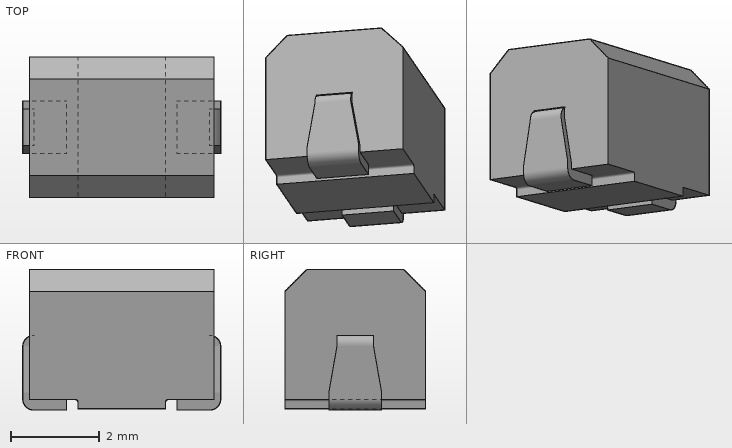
import cadquery as cq

total_length = 4.5
body_width = 3.2
total_height = 3.2

body_length = 4.2
body_bottom = 0.24
top_bevel = 0.5
rail_length = 2.0
rail_bottom = 0.03
rail_corner_radius = 0.05

foot_length = 1.0
foot_width = 1.2
neck_width = 0.832
taper_start = 0.395
neck_start = 1.45
bend_radius = 0.25

half_total = total_length / 2
half_rail = rail_length / 2
bend_center_x = -half_total + bend_radius
neck_top = neck_start + bend_radius


def make_body():
    """Block with bevelled top edges and a central rail underneath."""
    body = (
        cq.Workplane("XY", origin=(0, 0, body_bottom))
        .box(body_length, body_width, total_height - body_bottom, centered=(True, True, False))
        .faces(">Z")
        .edges("|X")
        .chamfer(top_bevel)
    )
    rail = (
        cq.Workplane("XY", origin=(0, 0, rail_bottom))
        .box(rail_length, body_width, body_bottom - rail_bottom, centered=(True, True, False))
    )
    rail_corners = cq.selectors.BoxSelector(
        (-half_rail - rail_corner_radius, -body_width, body_bottom - rail_corner_radius),
        (half_rail + rail_corner_radius, body_width, body_bottom + rail_corner_radius),
    )
    return body.union(rail).edges("|Y").edges(rail_corners).fillet(rail_corner_radius)


def make_neck_slot():
    """Slot in the -X end of the body where the bent neck enters."""
    return (
        cq.Workplane("XY", origin=(-half_total, 0, neck_start))
        .box(bend_radius, neck_width, bend_radius, centered=(False, True, False))
    )


def make_terminal():
    """Terminal on the -X end: foot under the body, tapered tongue and a neck curling into the body."""
    folded = (
        cq.Workplane("XZ")
        .moveTo(-half_total + foot_length, 0)
        .lineTo(bend_center_x, 0)
        .radiusArc((-half_total, bend_radius), bend_radius)
        .lineTo(-half_total, neck_start)
        .radiusArc((bend_center_x, neck_top), bend_radius)
        .lineTo(bend_center_x, body_bottom)
        .lineTo(-half_total + foot_length, body_bottom)
        .close()
        .extrude(foot_width / 2, both=True)
    )

    tongue = (
        cq.Workplane("YZ", origin=(-half_total, 0, 0))
        .moveTo(-foot_width / 2, 0)
        .lineTo(-foot_width / 2, taper_start)
        .lineTo(-neck_width / 2, neck_start)
        .lineTo(-neck_width / 2, total_height)
        .lineTo(neck_width / 2, total_height)
        .lineTo(neck_width / 2, neck_start)
        .lineTo(foot_width / 2, taper_start)
        .lineTo(foot_width / 2, 0)
        .close()
        .extrude(foot_length)
    )
    return folded.intersect(tongue)


neck_slot = make_neck_slot()
terminal = make_terminal()
result = (
    make_body()
    .cut(neck_slot)
    .cut(neck_slot.mirror("YZ"))
    .union(terminal)
    .union(terminal.mirror("YZ"))
)